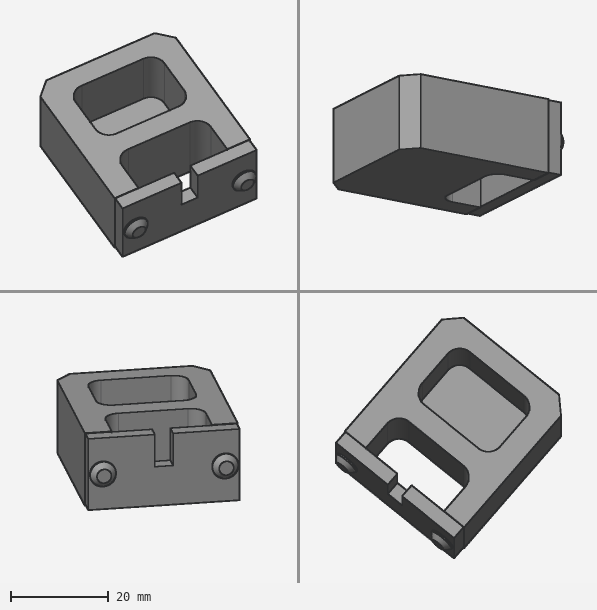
import cadquery as cq

overall_length = 38.58
housing_width = 31.75
housing_height = 15.9

plate_thickness = 3.05
plate_inset = 0.15
notch_width = 3.8
notch_depth = 7.02

head_diameter = 5.4
head_height = 1.55
rim_height = 0.4
head_top_diameter = 3.0
dome_bulge = 0.058
head_spacing = 25.4

corner_chamfer = 3.15
wall = 4.8
pocket_length = 14.5
pocket_width = 20.8
pocket_radius = 3.15
pocket_offset = 0.1
pocket_depth = 12.85

plate_outer_x = overall_length - head_height
housing_length = plate_outer_x - plate_thickness
opening_start = wall + pocket_length + wall
opening_length = housing_length - opening_start

plate_height = housing_height - 2 * plate_inset
plate_width = housing_width - 2 * plate_inset


def box_from(start_x, length, width, height, bottom_z, center_y=0):
    """Box that starts at start_x and stands on bottom_z."""
    return (
        cq.Workplane("XY")
        .box(length, width, height, centered=(False, True, False))
        .translate((start_x, center_y, bottom_z))
    )


def make_housing():
    """Block with two chamfered corners, a blind pocket and a through opening at the plate end."""
    block = box_from(0, housing_length, housing_width, housing_height, 0)
    block = block.edges("|Z and <X").chamfer(corner_chamfer)

    pocket = box_from(
        wall, pocket_length, pocket_width, pocket_depth, housing_height - pocket_depth, pocket_offset
    )
    pocket = pocket.edges("|Z").fillet(pocket_radius)

    opening = box_from(opening_start, opening_length, pocket_width, housing_height, 0, pocket_offset)
    opening = opening.edges("|Z and <X").fillet(pocket_radius)

    return block.cut(pocket).cut(opening)


def make_end_plate():
    """Plate that closes the open end of the housing, with a notch in its top edge."""
    plate = box_from(housing_length, plate_thickness, plate_width, plate_height, plate_inset)
    notch_floor_z = plate_inset + plate_height - notch_depth
    notch = box_from(housing_length, plate_thickness, notch_width, notch_depth, notch_floor_z)
    return plate.cut(notch)


def make_screw_head(center_y):
    """Button head seated on the outer face of the plate, revolved about its X axis."""
    rim_radius = head_diameter / 2
    top_radius = head_top_diameter / 2
    profile = (
        cq.Workplane("XY")
        .lineTo(0, rim_radius)
        .lineTo(rim_height, rim_radius)
        .sagittaArc((head_height, top_radius), dome_bulge)
        .lineTo(head_height, 0)
        .close()
    )
    head = profile.revolve(360, (0, 0, 0), (1, 0, 0))
    return head.translate((plate_outer_x, center_y, housing_height / 2))


housing = make_housing()
end_plate = make_end_plate()
screw_heads = [make_screw_head(side * head_spacing / 2) for side in (-1, 1)]

result = cq.Compound.makeCompound(
    [housing.val(), end_plate.val(), *[head.val() for head in screw_heads]]
)